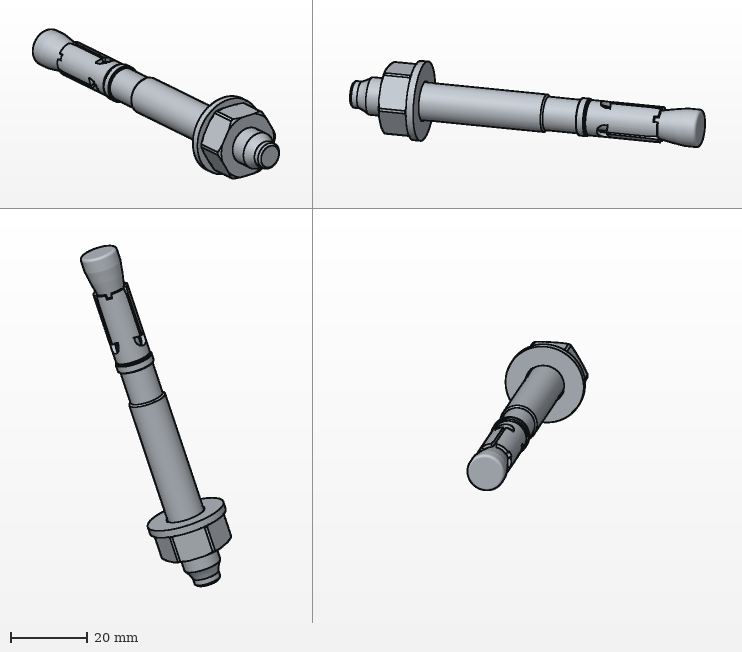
import cadquery as cq
import math

length = 95.0

shank_radius = 10.0 / 2
waist_radius = 8.9 / 2
collar_start = 30.6
collar_end = 32.8
collar_chamfer = 0.2
collar_flank_length = 0.2
shank_start = 42.4
shank_shoulder = 0.5

head_rounding = 0.8
head_end = 3.8
upper_cone_end = 7.2
upper_cone_end_radius = 4.5
clip_start = 10.6
cone_radius_at_clip = 3.8
neck_radius = 3.0

taper_start = 90.1
taper_end = 92.9
taper_hollow_radius = 8.55
tip_radius = 7.1 / 2
tip_chamfer = 0.6

clip_end = collar_start
clip_radius = 9.4 / 2
clip_bore_radius = 3.5
clip_end_bevel_length = 0.5
clip_end_bevel_depth = 0.2
segment_count = 3
segment_angle = 360.0 / segment_count
slot_width = 0.8
slot_mouth_width = 1.3
slot_mouth_length = 2.3
window_radius = 2.5
window_centre = 24.7
barb_position = 24.0
window_root = 24.5
notch_width = 1.5
notch_length = 1.1
notch_angle = 67.0

washer_start = 75.5
washer_thickness = 2.0
washer_radius = 21.0 / 2
washer_bore_radius = 10.5 / 2
nut_height = 8.0
nut_width = 17.0
nut_corner_radius = 9.6
nut_chamfer_radius = 8.7
nut_chamfer_angle = 30.0
nut_turn = 30.0


def revolve_about_x(profile):
    """Turn a closed profile of (X, radius) about the X axis."""
    return profile.close().revolve(360, (0, 0, 0), (1, 0, 0))


def disc(start, thickness, radius):
    """A solid cylinder along X."""
    return cq.Workplane("YZ", origin=(start, 0, 0)).circle(radius).extrude(thickness)


def cone_position(radius):
    """X at which the lower expansion cone narrows to the given radius."""
    cone_slope = (upper_cone_end_radius - cone_radius_at_clip) / (clip_start - upper_cone_end)
    return clip_start + (cone_radius_at_clip - radius) / cone_slope


def make_bolt():
    profile = (
        cq.Workplane("XY")
        .lineTo(0, shank_radius - head_rounding)
        .radiusArc((head_rounding, shank_radius), head_rounding)
        .lineTo(head_end, shank_radius)
        .lineTo(upper_cone_end, upper_cone_end_radius)
        .lineTo(cone_position(neck_radius), neck_radius)
        .lineTo(collar_start, neck_radius)
        .lineTo(collar_start, clip_radius - clip_end_bevel_depth)
        .lineTo(collar_start + collar_flank_length, shank_radius)
        .lineTo(collar_end - collar_chamfer, shank_radius)
        .lineTo(collar_end, shank_radius - collar_chamfer)
        .lineTo(collar_end, waist_radius)
        .lineTo(shank_start - shank_shoulder, waist_radius)
        .lineTo(shank_start, shank_radius)
        .lineTo(taper_start, shank_radius)
        .radiusArc((taper_end, tip_radius), -taper_hollow_radius)
        .lineTo(length - tip_chamfer, tip_radius)
        .lineTo(length, tip_radius - tip_chamfer)
        .lineTo(length, 0)
    )
    return revolve_about_x(profile)


def make_clip_slot():
    """Cutter for the slot at the top of the clip, with its flared mouth and barbed window."""
    half_slot = slot_width / 2
    half_mouth = slot_mouth_width / 2
    barb = math.sqrt(window_radius**2 - (window_centre - barb_position) ** 2)
    return (
        cq.Workplane("XY")
        .moveTo(clip_start, -half_mouth)
        .lineTo(clip_start + slot_mouth_length, -half_slot)
        .lineTo(window_root, -half_slot)
        .lineTo(barb_position, -barb)
        .threePointArc((window_centre + window_radius, 0), (barb_position, barb))
        .lineTo(window_root, half_slot)
        .lineTo(clip_start + slot_mouth_length, half_slot)
        .lineTo(clip_start, half_mouth)
        .close()
        .extrude(2 * clip_radius)
    )


def make_clip_notch():
    """Cutter for a short notch in the front rim of the clip."""
    return (
        cq.Workplane("XY")
        .box(notch_length, notch_width, 2 * clip_radius, centered=(False, True, False))
        .translate((clip_start, 0, 0))
        .rotate((0, 0, 0), (1, 0, 0), notch_angle)
    )


def make_clip():
    profile = (
        cq.Workplane("XY")
        .moveTo(clip_start, cone_radius_at_clip)
        .lineTo(clip_start, clip_radius)
        .lineTo(clip_end - clip_end_bevel_length, clip_radius)
        .lineTo(clip_end, clip_radius - clip_end_bevel_depth)
        .lineTo(clip_end, clip_bore_radius)
        .lineTo(cone_position(clip_bore_radius), clip_bore_radius)
    )
    clip = revolve_about_x(profile)
    for index in range(segment_count):
        turn = index * segment_angle
        for cutter in (make_clip_slot(), make_clip_notch()):
            clip = clip.cut(cutter.rotate((0, 0, 0), (1, 0, 0), turn))
    return clip


def make_nut():
    """Hexagon nut carrying its washer flange, which clears the shank."""
    nut_start = washer_start + washer_thickness
    nut_end = nut_start + nut_height
    chamfer_length = (nut_corner_radius - nut_chamfer_radius) * math.tan(math.radians(nut_chamfer_angle))
    hexagon = (
        cq.Workplane("YZ", origin=(nut_start, 0, 0))
        .polygon(6, nut_width, circumscribed=True)
        .extrude(nut_height)
        .rotate((0, 0, 0), (1, 0, 0), nut_turn)
    )
    turned_blank = revolve_about_x(
        cq.Workplane("XY")
        .moveTo(nut_start, 0)
        .lineTo(nut_start, nut_chamfer_radius)
        .lineTo(nut_start + chamfer_length, nut_corner_radius)
        .lineTo(nut_end - chamfer_length, nut_corner_radius)
        .lineTo(nut_end, nut_chamfer_radius)
        .lineTo(nut_end, 0)
    )
    washer = disc(washer_start, washer_thickness, washer_radius)
    washer_bore = disc(washer_start, washer_thickness, washer_bore_radius)
    nut_bore = disc(nut_start, nut_height, shank_radius)
    return hexagon.intersect(turned_blank).union(washer).cut(washer_bore).cut(nut_bore)


bolt = make_bolt()
clip = make_clip()
nut = make_nut()

result = cq.Compound.makeCompound([bolt.val(), clip.solids().val(), nut.solids().val()])